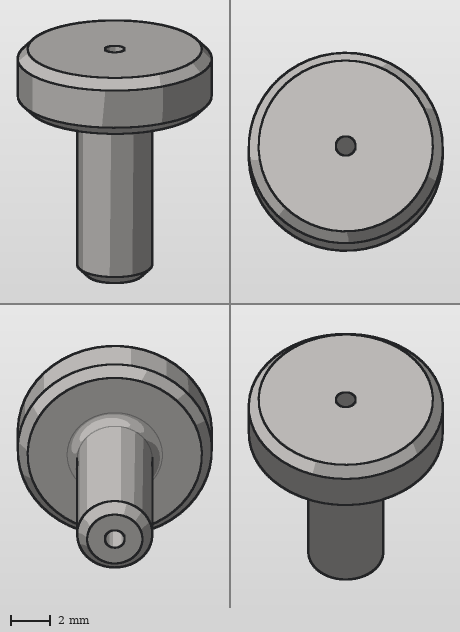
import cadquery as cq

total_height = 12.03
head_diameter = 9.8
head_thickness = 3.0
shank_diameter = 3.8
bore_diameter = 1.0
edge_size = 0.5

head_radius = head_diameter / 2
shank_radius = shank_diameter / 2
head_bottom = total_height - head_thickness

profile = (
    cq.Workplane("XZ")
    .moveTo(0, 0)
    .lineTo(shank_radius - edge_size, 0)
    .lineTo(shank_radius, edge_size)
    .lineTo(shank_radius, head_bottom - edge_size)
    .radiusArc((shank_radius + edge_size, head_bottom), edge_size)
    .lineTo(head_radius - edge_size, head_bottom)
    .lineTo(head_radius, head_bottom + edge_size)
    .lineTo(head_radius, total_height - edge_size)
    .lineTo(head_radius - edge_size, total_height)
    .lineTo(0, total_height)
    .close()
)
body = profile.revolve(360, (0, 0, 0), (0, 1, 0))

bore = cq.Workplane("XY").circle(bore_diameter / 2).extrude(total_height)

result = body.cut(bore)